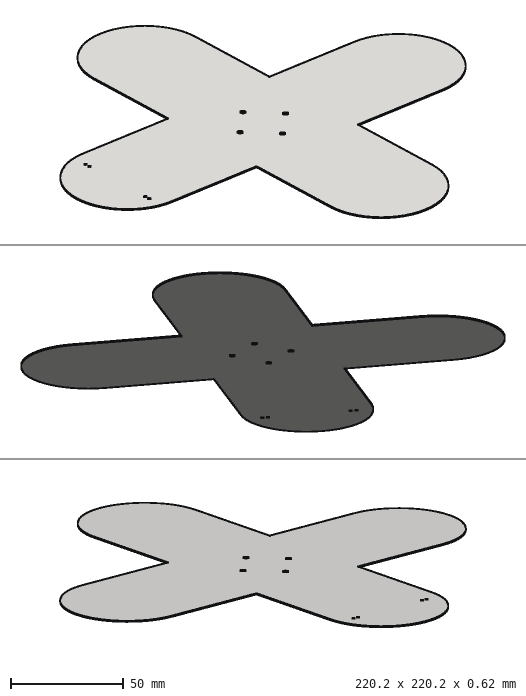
import cadquery as cq

span = 220.2
arm_width = 60.0
thickness = 0.62

mount_hole_diameter = 2.5
mount_radius = 13.5
mount_center_x = 0.9
mount_center_y = -0.9

small_hole_diameter = 1.2
pair_spacing = 40.5
hole_spacing = 2.6
small_hole_y = -86.0


def make_arm(angle):
    """Round-ended arm through the origin, turned by angle about Z."""
    return cq.Workplane("XY").slot2D(span, arm_width, angle).extrude(thickness)


def drill(plate, points, diameter):
    """Cut through holes of one diameter at the given points."""
    cutter = cq.Workplane("XY").pushPoints(points).circle(diameter / 2).extrude(thickness)
    return plate.cut(cutter)


mount_points = [
    (mount_center_x + mount_radius * dx, mount_center_y + mount_radius * dy)
    for dx, dy in [(1, 0), (0, 1), (-1, 0), (0, -1)]
]

small_points = [
    (pair_side * pair_spacing / 2 + hole_side * hole_spacing / 2, small_hole_y)
    for pair_side in (-1, 1)
    for hole_side in (-1, 1)
]

plate = make_arm(0).union(make_arm(90))
plate = drill(plate, mount_points, mount_hole_diameter)
result = drill(plate, small_points, small_hole_diameter)